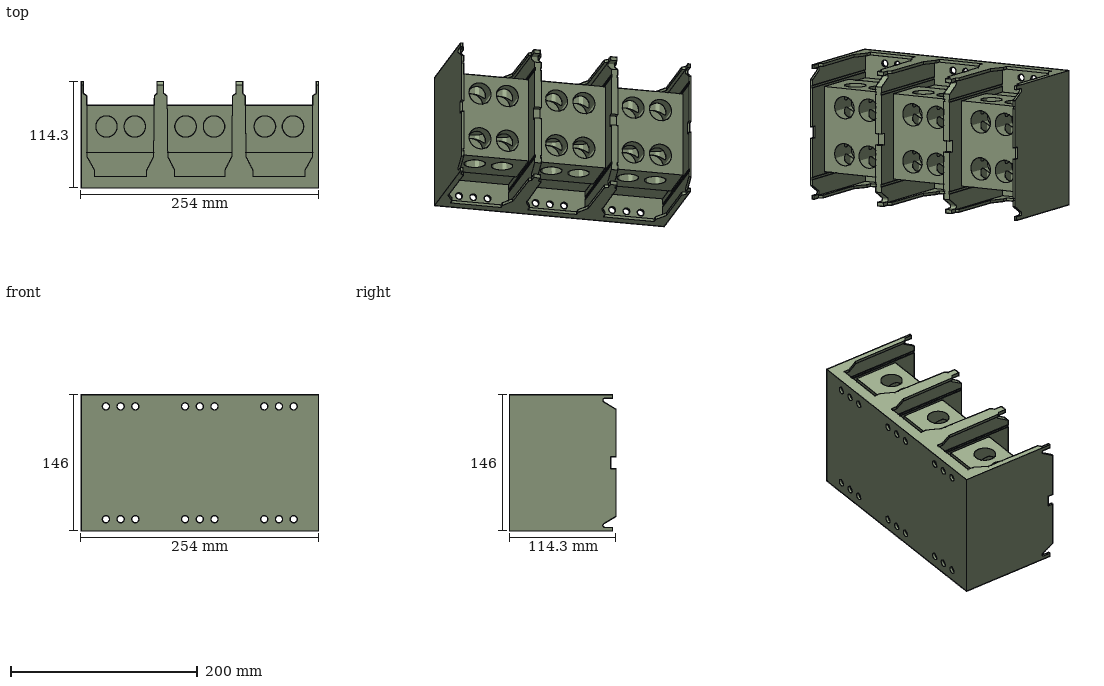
import cadquery as cq
import math

width = 254.0
depth = 114.3
height = 146.0
pole_count = 3
pole_pitch = width / pole_count
top_z = height / 2

front_wall = 3.0
divider_thickness = 7.4
end_wall = 2.5

flange_thickness = front_wall
mouth_floor_y = 12.7
mouth_foot = 14.5
mouth_corner_y = 19.3
mouth_shoulder_y = 33.8
flange_rear_y = 98.8
flange_tip_y = 101.5
divider_flange_front = 7.0
divider_flange_rear = 6.4
end_flange = 6.4
middle_pole_inset = 1.0

groove_depth = 0.8
groove_height = 2.5
groove_drop = 21.8

terminal_drop = 26.7
ledge_drop = 30.5
terminal_front_y = 38.0
terminal_rear_y = 89.0
screw_bore_diameter = 22.9
screw_bore_drop = 63.5
wire_bore_diameter = 24.1
bore_pitch = 30.2
screw_bore_y = 66.0
wire_axis_drop = 47.5

mount_diameter = 7.4
mount_pitch = 15.7
mount_edge = 12.7

hook_thickness = 4.0
hook_tip_y = 110.5
hook_slope_drop = 15.7
hook_slope_angle = 31.0
hook_root_radius = 2.0
notch_height = 12.5
notch_depth = 5.8

pole_centres = [(i - (pole_count - 1) / 2) * pole_pitch for i in range(pole_count)]


def box(x0, x1, y0, y1, z0, z1):
    """Box between two opposite corners."""
    return cq.Workplane("XY").box(x1 - x0, y1 - y0, z1 - z0, centered=False).translate((x0, y0, z0))


def is_end_wall(pole_x, side):
    """True when the wall on this side (-1 or 1) of the pole is an outer wall."""
    return abs(pole_x + side * pole_pitch) > width / 2


def cavity_side(pole_x, side):
    """X of the wall face on one side of a pole."""
    wall = end_wall if is_end_wall(pole_x, side) else divider_thickness / 2
    return pole_x + side * (pole_pitch / 2 - wall)


def mouth_side(pole_x, side):
    """Flange edge on one side of a pole, from the mouth floor to the rear."""
    if is_end_wall(pole_x, side):
        front_offset = rear_offset = end_flange
    else:
        front_offset = divider_flange_front
        rear_offset = divider_flange_rear
    inset = middle_pole_inset if pole_x == 0 else 0
    boundary = pole_x + side * (pole_pitch / 2 - inset)
    foot_x = boundary - side * mouth_foot
    wall_x = cavity_side(pole_x, side)
    return [
        (foot_x, mouth_floor_y),
        (foot_x, mouth_corner_y),
        (boundary - side * front_offset, mouth_shoulder_y),
        (boundary - side * rear_offset, flange_rear_y),
        (wall_x, flange_tip_y),
        (wall_x, depth),
    ]


def pole_mouth(pole_x):
    """Opening between the flanges, cut through the full height."""
    outline = mouth_side(pole_x, -1) + mouth_side(pole_x, 1)[::-1]
    return cq.Workplane("XY").workplane(offset=-top_z).polyline(outline).close().extrude(height)


def pole_cavity(pole_x):
    """Room between the walls and between the two flanges, open to the rear."""
    inner_z = top_z - flange_thickness
    return box(cavity_side(pole_x, -1), cavity_side(pole_x, 1), front_wall, depth, -inner_z, inner_z)


def pole_groove(pole_x, end):
    """Groove in both walls of a pole, near the top (end=1) or bottom (end=-1)."""
    groove = box(
        cavity_side(pole_x, -1) - groove_depth,
        cavity_side(pole_x, 1) + groove_depth,
        front_wall,
        depth,
        top_z - groove_drop - groove_height,
        top_z - groove_drop,
    )
    return groove if end > 0 else groove.mirror("XY")


def pole_terminals(pole_x):
    """Terminal body across the pole, with a slightly lower ledge in front of it."""
    left = cavity_side(pole_x, -1)
    right = cavity_side(pole_x, 1)
    terminal_z = top_z - terminal_drop
    ledge_z = top_z - ledge_drop
    terminal = box(left, right, terminal_front_y, terminal_rear_y, -terminal_z, terminal_z)
    return terminal.union(box(left, right, front_wall, terminal_front_y, -ledge_z, ledge_z))


def terminal_bores(pole_x, end):
    """Flat-bottomed screw bores, each crossed by a wire bore from the rear."""
    terminal_z = top_z - terminal_drop
    wire_z = top_z - wire_axis_drop
    wire_front_y = screw_bore_y - wire_bore_diameter / 2
    screw_floor_z = top_z - screw_bore_drop
    bore_xs = [pole_x - bore_pitch / 2, pole_x + bore_pitch / 2]
    screws = (
        cq.Workplane("XY", origin=(0, 0, screw_floor_z))
        .pushPoints([(x, screw_bore_y) for x in bore_xs])
        .circle(screw_bore_diameter / 2)
        .extrude(terminal_z - screw_floor_z)
    )
    wires = (
        cq.Workplane("XZ", origin=(0, terminal_rear_y, 0))
        .pushPoints([(x, wire_z) for x in bore_xs])
        .circle(wire_bore_diameter / 2)
        .extrude(terminal_rear_y - wire_front_y)
    )
    bores = screws.union(wires)
    return bores if end > 0 else bores.mirror("XY")


def mounting_holes():
    """Rows of three holes per pole through the front wall, near both ends."""
    row_z = top_z - mount_edge
    points = [
        (pole_x + step * mount_pitch, z)
        for pole_x in pole_centres
        for step in (-1, 0, 1)
        for z in (-row_z, row_z)
    ]
    return cq.Workplane("XZ").pushPoints(points).circle(mount_diameter / 2).extrude(-front_wall)


def hook_cut(end):
    """Wedge with a rounded root that leaves a hook at the top (end=1) or bottom (end=-1)."""
    hook_z = top_z - hook_thickness
    slope_z = top_z - hook_slope_drop
    root_y = depth - (hook_z - slope_z) / math.tan(math.radians(hook_slope_angle))
    wedge = (
        cq.Workplane("YZ", origin=(-width / 2, 0, 0))
        .polyline([(root_y, hook_z), (depth, slope_z), (depth, hook_z)])
        .close()
        .extrude(width)
        .edges("<Y")
        .fillet(hook_root_radius)
    )
    tip = box(-width / 2, width / 2, hook_tip_y, depth, hook_z, top_z)
    cut = wedge.union(tip)
    return cut if end > 0 else cut.mirror("XY")


result = box(-width / 2, width / 2, 0, depth, -top_z, top_z)

for pole_x in pole_centres:
    result = result.cut(pole_mouth(pole_x)).cut(pole_cavity(pole_x))
    for end in (-1, 1):
        result = result.cut(pole_groove(pole_x, end))
    result = result.union(pole_terminals(pole_x))
    for end in (-1, 1):
        result = result.cut(terminal_bores(pole_x, end))

result = result.cut(mounting_holes())

for end in (-1, 1):
    result = result.cut(hook_cut(end))

notch_half = notch_height / 2
result = result.cut(box(-width / 2, width / 2, depth - notch_depth, depth, -notch_half, notch_half))